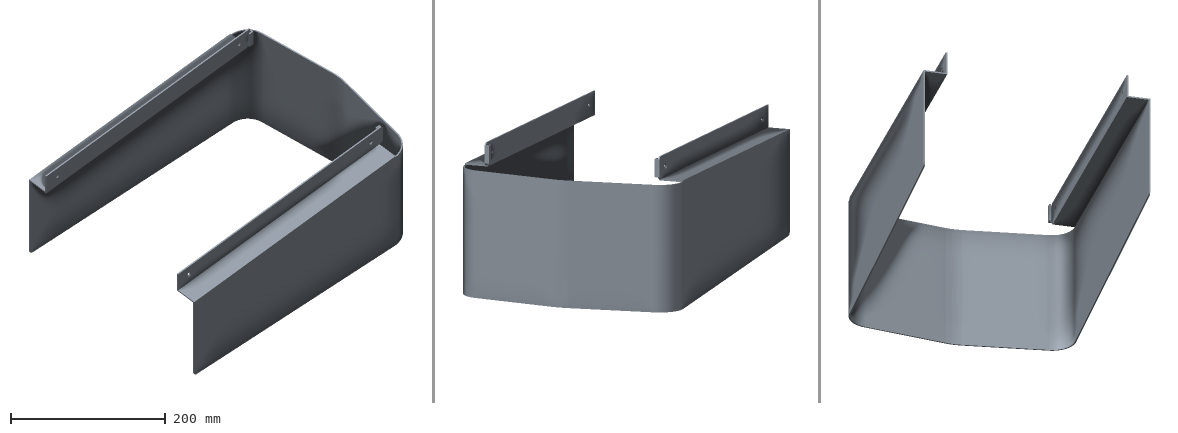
import cadquery as cq
import math

sheet = 2.0
width = 303.0
length = 413.62
height = 199.5
half_width = width / 2

slope = math.radians(8.0)
corner_radius = 30.0 + sheet
ridge_radius = 80.0 + sheet

flange_height = 30.0
flange_gap = 240.0
shelf_top = height - flange_height
shelf_bottom = shelf_top - sheet
flange_inner_x = flange_gap / 2
flange_outer_x = flange_inner_x + sheet

front_rise = 30.0
front_corner_radius = 5.0

flange_overhang = 6.0
flange_end_chamfer = 3.0
hook_reach = 4.5
hook_depth = 7.0

hole_diameter = 4.5
countersink_diameter = 7.0
hole_first_y = 20.0
hole_spacing = 330.0
hole_drop = 15.5
hole_z = height - hole_drop


def corner_point(radius, angle):
    """Point on the +X rear corner bend, with Y measured from the start of the bend."""
    centre_x = half_width - corner_radius
    return centre_x + radius * math.cos(angle), radius * math.sin(angle)


corner_end = corner_point(corner_radius, math.pi / 2 - slope)
ridge_end_x = ridge_radius * math.sin(slope)
flat_rise = (corner_end[0] - ridge_end_x) * math.tan(slope)
ridge_rise = ridge_radius * (1 - math.cos(slope))
back_depth = corner_end[1] + flat_rise + ridge_rise
side_length = length - back_depth


def box(x_range, y_range, z_range):
    """Axis-aligned block spanning the given ranges."""
    size = [end - start for start, end in (x_range, y_range, z_range)]
    return cq.Workplane("XY").box(*size, centered=False).translate((x_range[0], y_range[0], z_range[0]))


def back_block(inset):
    """Solid block bounded by the back wall face lying `inset` inside its outer face."""
    bend = corner_radius - inset
    ridge = ridge_radius - inset
    end_angle = math.pi / 2 - slope
    start = corner_point(bend, 0)
    middle = corner_point(bend, end_angle / 2)
    end = corner_point(bend, end_angle)
    ridge_end = (ridge * math.sin(slope), back_depth - ridge_radius + ridge * math.cos(slope))
    ridge_top = (0, back_depth - inset)
    return (
        cq.Workplane("XY", origin=(0, side_length, 0))
        .moveTo(*start)
        .threePointArc(middle, end)
        .lineTo(*ridge_end)
        .threePointArc(ridge_top, (-ridge_end[0], ridge_end[1]))
        .lineTo(-end[0], end[1])
        .threePointArc((-middle[0], middle[1]), (-start[0], start[1]))
        .close()
        .extrude(shelf_bottom)
    )


def back_wall():
    return back_block(0).cut(back_block(sheet))


def side_panel():
    """Upright panel on the +X side with a sloped lower edge."""
    panel = (
        cq.Workplane("YZ", origin=(half_width - sheet, 0, 0))
        .polyline([(0, front_rise), (side_length, 0), (side_length, shelf_top), (0, shelf_top)])
        .close()
        .extrude(sheet)
    )
    return panel.edges("|X").edges("<Y").edges("<Z").fillet(front_corner_radius)


def flange():
    """Shelf turned inward from the panel, and the upright flange on its inner edge."""
    rear_y = side_length + flange_overhang
    shelf = box((flange_inner_x, half_width), (0, side_length), (shelf_bottom, shelf_top))
    upright = box((flange_inner_x, flange_outer_x), (0, rear_y), (shelf_top, height))
    upright = upright.edges("|X").edges(">Y").chamfer(flange_end_chamfer)
    return shelf.union(upright)


def hook():
    """Lip turned inward from the straight part of the flange's rear end, then forward."""
    rear_y = side_length + flange_overhang
    tip_x = flange_inner_x - hook_reach
    z_range = (shelf_top + flange_end_chamfer, height - flange_end_chamfer)
    web = box((tip_x, flange_inner_x), (rear_y - sheet, rear_y), z_range)
    lip = box((tip_x, tip_x + sheet), (rear_y - hook_depth, rear_y), z_range)
    return web.union(lip)


def flange_holes():
    """Conical cutters for the mounting holes, widest on the outer flange face."""
    cutter = cq.Workplane(
        cq.Solid.makeCone(
            hole_diameter / 2,
            countersink_diameter / 2,
            sheet,
            pnt=cq.Vector(flange_inner_x, hole_first_y, hole_z),
            dir=cq.Vector(1, 0, 0),
        )
    )
    return cutter.union(cutter.translate((0, hole_spacing, 0)))


right_side = side_panel().union(flange()).union(hook()).cut(flange_holes())
left_side = right_side.mirror("YZ")
result = back_wall().union(right_side).union(left_side)